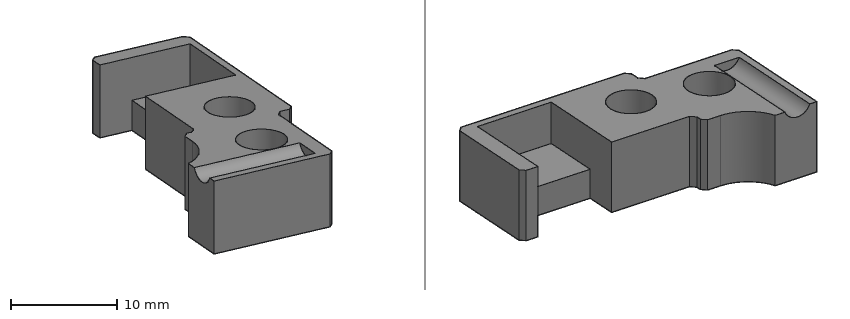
import cadquery as cq
import math

length = 30.83
width = 15.15
height = 7.5
edge_bevel = 0.5

shoulder_x = 19.83
tail_front_y = 4.5
head_front_y = 2.95
head_back_y = 13.15

relief_start_x = 21.8
relief_radius = 4.5

pocket_left_x = 1.85
pocket_length = 8.5
pocket_back_y = 14.35
floor_front_y = 8.0
floor_height = 3.1

through_hole_x = 16.53
through_hole_y = 10.07
through_hole_diameter = 4.8
blind_hole_x = 24.65
blind_hole_y = 8.8
blind_hole_diameter = 4.9
blind_hole_depth = 6.0

groove_x = 28.58
groove_radius = 1.55
groove_depth = 0.95
groove_end_y = 11.5


def box(x_min, x_max, y_min, y_max, z_min, z_max):
    """Axis-aligned box between two opposite corners."""
    size = (x_max - x_min, y_max - y_min, z_max - z_min)
    return cq.Workplane("XY").box(*size, centered=False).translate((x_min, y_min, z_min))


def body():
    """Extruded outline with bevelled corners and the concave front relief."""
    b = edge_bevel
    relief_center_y = head_front_y - relief_radius
    relief_end_x = relief_start_x + math.sqrt(relief_radius**2 - relief_center_y**2)
    mid_angle = (math.pi / 2 + math.asin(-relief_center_y / relief_radius)) / 2
    relief_middle = (
        relief_start_x + relief_radius * math.cos(mid_angle),
        relief_center_y + relief_radius * math.sin(mid_angle),
    )
    return (
        cq.Workplane("XY")
        .moveTo(b, tail_front_y)
        .lineTo(shoulder_x - b, tail_front_y)
        .lineTo(shoulder_x, tail_front_y - b)
        .lineTo(shoulder_x, head_front_y + b)
        .lineTo(shoulder_x + b, head_front_y)
        .lineTo(relief_start_x, head_front_y)
        .threePointArc(relief_middle, (relief_end_x, 0))
        .lineTo(length, 0)
        .lineTo(length, head_back_y - b)
        .lineTo(length - b, head_back_y)
        .lineTo(shoulder_x + b, head_back_y)
        .lineTo(shoulder_x, head_back_y + b)
        .lineTo(shoulder_x, width - b)
        .lineTo(shoulder_x - b, width)
        .lineTo(b, width)
        .lineTo(0, width - b)
        .lineTo(0, tail_front_y + b)
        .close()
        .extrude(height)
    )


def pocket():
    """Space above the raised floor plus the full-height opening in front of it."""
    right_x = pocket_left_x + pocket_length
    above_floor = box(pocket_left_x, right_x, tail_front_y, pocket_back_y, floor_height, height)
    front_opening = box(pocket_left_x, right_x, tail_front_y, floor_front_y, 0, height)
    return above_floor.union(front_opening)


def hole(x, y, diameter, depth):
    """Vertical round hole measured down from the top face."""
    return (
        cq.Workplane("XY", origin=(x, y, height - depth))
        .circle(diameter / 2)
        .extrude(depth)
    )


def groove():
    """Lying cylinder whose lowest line is groove_depth below the top face."""
    axis_z = height - groove_depth + groove_radius
    return (
        cq.Workplane("XZ", origin=(groove_x, 0, axis_z))
        .circle(groove_radius)
        .extrude(-groove_end_y)
    )


result = (
    body()
    .cut(pocket())
    .cut(hole(through_hole_x, through_hole_y, through_hole_diameter, height))
    .cut(hole(blind_hole_x, blind_hole_y, blind_hole_diameter, blind_hole_depth))
    .cut(groove())
)